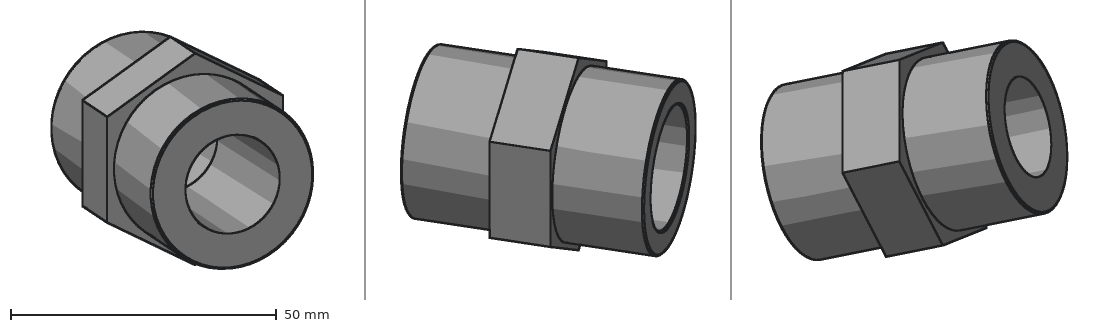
import cadquery as cq
import math

length = 48.0
hex_width = 12.0
hex_across_flats = 36.0
hex_across_corners = hex_across_flats / math.cos(math.pi / 6)

left_diameter = 33.75
right_diameter = 33.25
rim_chamfer = 0.35

through_diameter = 19.3
bore_diameter = 24.1
bore_chamfer = 0.35
bore_depth = (length - hex_width) / 2


def spigot(diameter, direction):
    """Cylinder from the middle plane to one end, with a chamfered outer rim."""
    end_face = ">X" if direction > 0 else "<X"
    return (
        cq.Workplane("YZ")
        .circle(diameter / 2)
        .extrude(direction * length / 2)
        .faces(end_face)
        .chamfer(rim_chamfer)
    )


def hexagon():
    """Central hexagon with its corners pointing along +Z and -Z."""
    return (
        cq.Workplane("YZ")
        .polygon(6, hex_across_corners)
        .extrude(hex_width / 2, both=True)
        .rotate((0, 0, 0), (1, 0, 0), 90)
    )


def stepped_bore():
    """Through hole plus the wider left bore and its entry chamfer, as one cutter."""
    left_end = -length / 2
    through_radius = through_diameter / 2
    bore_radius = bore_diameter / 2
    return (
        cq.Workplane("XY")
        .moveTo(left_end, 0)
        .lineTo(left_end, bore_radius + bore_chamfer)
        .lineTo(left_end + bore_chamfer, bore_radius)
        .lineTo(left_end + bore_depth, bore_radius)
        .lineTo(left_end + bore_depth, through_radius)
        .lineTo(length / 2, through_radius)
        .lineTo(length / 2, 0)
        .close()
        .revolve(360, (0, 0, 0), (1, 0, 0))
    )


body = hexagon().union(spigot(left_diameter, -1)).union(spigot(right_diameter, 1))
result = body.cut(stepped_bore())